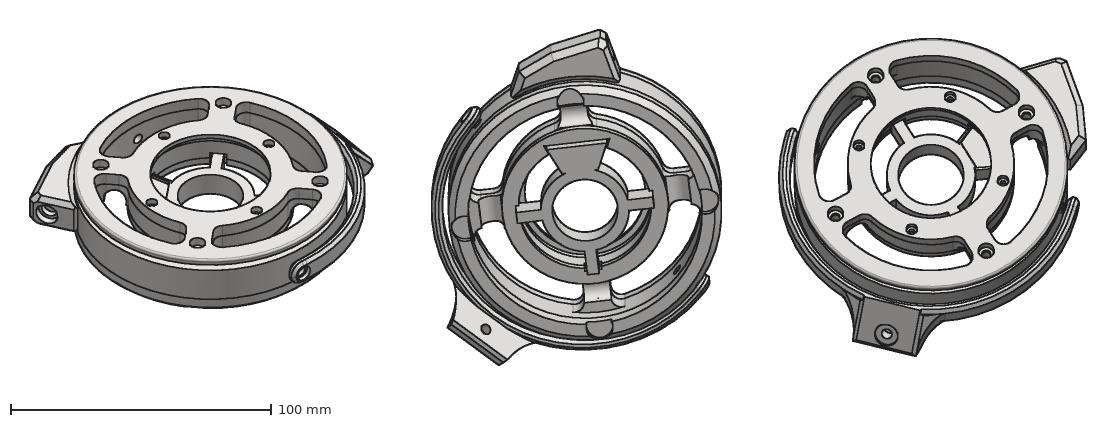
import cadquery as cq
import math

OUTER_R = 105.0 / 2
SLOT_OUTER_R = 90 / 2
HUB_R = 64.0 / 2
BORE_R = 51.0 / 2
ARM_WIDTH = 10.4
SLOT_FILLET = 4.0
ARM_ANGLES = (45, 135, 225, 315)
HUB_SCREW_ANGLES = (0, 90, 180, 270)

COVER_RIM_TOP = 6.7
HUB_JOINT = 12.6
HOUSING_TOP = 21.1
PLATE_TOP = 26.2
PIVOT_Z = (COVER_RIM_TOP + HOUSING_TOP) / 2

ARM_SCREW_R = 42.4
ARM_SCREW_HOLE = 3.5
ARM_SCREW_HEAD = 6.0
ARM_SCREW_HEAD_DEPTH = 3.7
HUB_SCREW_R = 28.7
HUB_SCREW_HOLE = 2.2
HUB_SCREW_HEAD = 4.2
HUB_SCREW_HEAD_DEPTH = 2.6
SCREW_DEPTH = 10.3
PIVOT_HOLE = 4.0

PASSAGE_R = 36.3
PASSAGE_HOLE = 9.0

FLANGE_BOTTOM = 23.3
FLANGE_FILLET = 0.9
NECK_R = 46.9
PLATE_OPENING_R = 23.1
LIP_BOTTOM = 24.3

COVER_CHAMFER = 2.6
FOOT_R = 46.5
FOOT_DIAMETER = 10.3
FOOT_DEPTH = 2.6

HUB_UNDERSIDE = 9.5
SPIDER_BORE_R = 12.6
SPIDER_RING_R = 17.0
SPIDER_BOTTOM = 5.3
SPIDER_TOP = 14.9
SPOKE_WIDTH = 4.5
SPOKE_REACH = 26.5
SPOKE_ANGLES = (45, 135, 315)
NOTCH_CLEARANCE = 1.0
PAD_ANGLE = 225
PAD_INNER_X = 16.0
PAD_INNER_WIDTH = 14.0
PAD_FLARE_ANGLE = 24
PAD_WALL = 0.8
PAD_POCKET_DEPTH = 1.3

BOX_SIDE = [(-50.7, -18.3), (-54.3, -28.0), (-49.4, -41.5), (-38.3, -58.2)]
BOX_CABLE_END = [(-35.7, -58.6), (-21.9, -49.8)]
BOX_HIDDEN_BACK = [(-20.6, -38.6), (-38.6, -18.3)]
BOX_SIDE_CHAMFER = 2.7
BOX_CORNER_CHAMFER = 3.1
BOX_END_CHAMFER = 1.9
BOX_INNER_CHAMFER = 2.2
CABLE_FROM_CORNER = 5.5
CABLE_MOUTH = 8.7
CABLE_MOUTH_DEPTH = 3.1
CABLE_HOLE = 6.2
CABLE_HOLE_DEPTH = 5.7

YOKE_CENTER_Y = 1.7
YOKE_OUTER_R = 116.1 / 2
YOKE_INNER_R = 53.9
YOKE_HEIGHT = 10.2
YOKE_BOTTOM = PIVOT_Z - YOKE_HEIGHT / 2
YOKE_TOP = PIVOT_Z + YOKE_HEIGHT / 2
YOKE_CHAMFER = 1.4
ROUND_END_FLAT = 0.03
YOKE_SCREW_HEAD = 6.2
YOKE_SCREW_HEAD_DEPTH = 1.9
YOKE_SCREW_HOLE = 4.2
TAB_BEND_Y = 57.7
TAB_TILT = 50
TAB_LENGTH = 20.6
TAB_THICKNESS = 6.4
TAB_HALF_WIDTH = 12.6
TAB_OVERLAP = 5.1
TAB_CHAMFER = 1.5
WEB_TOE = (20.8, 55.8)
WEB_MIDDLE = (14.9, 61.5)
WEB_TIP = (TAB_HALF_WIDTH, 68.8)
TAB_HOLE_FROM_BEND = 13.9
TAB_HOLE = 4.0
TAB_HEAD = 9.0
TAB_HEAD_DEPTH = 1.0


def disc(radius, bottom, top):
    return cq.Workplane("XY").workplane(offset=bottom).circle(radius).extrude(top - bottom)


def polar(radius, angle):
    return radius * math.cos(math.radians(angle)), radius * math.sin(math.radians(angle))


def turned(body, angle):
    return body.rotate((0, 0, 0), (0, 0, 1), angle)


def drill(radius_from_axis, angles, diameter, bottom, top):
    """Vertical drills placed around the main axis."""
    places = cq.Workplane("XY").workplane(offset=bottom)
    places = places.pushPoints([polar(radius_from_axis, angle) for angle in angles])
    return places.circle(diameter / 2).extrude(top - bottom)


def slots(bottom, top):
    """Four arc-shaped windows, which leave four diagonal arms between rim and hub."""
    windows = disc(SLOT_OUTER_R, bottom, top).cut(disc(HUB_R, bottom, top))
    for angle in ARM_ANGLES[:2]:
        arm = cq.Workplane("XY").box(2 * OUTER_R, ARM_WIDTH, 2 * PLATE_TOP)
        windows = windows.cut(turned(arm, angle))
    return windows.edges("|Z").fillet(SLOT_FILLET)


def arm_passages():
    """Level cross holes that link neighbouring windows through each arm."""
    drill_bit = cq.Workplane("XZ").center(PASSAGE_R, PIVOT_Z).circle(PASSAGE_HOLE / 2)
    drill_bit = drill_bit.extrude(ARM_WIDTH, both=True)
    passages = cq.Workplane()
    for angle in ARM_ANGLES:
        passages = passages.add(turned(drill_bit, angle))
    return passages.combine()


def pad(margin, bottom, top):
    """Flared wedge on the spider's cable side, offset outward by a margin."""
    inner_x = PAD_INNER_X - margin
    inner_half = PAD_INNER_WIDTH / 2 + margin
    outer_half = inner_half + (SPOKE_REACH - PAD_INNER_X) * math.tan(math.radians(PAD_FLARE_ANGLE))
    outline = [
        (inner_x, -inner_half), (SPOKE_REACH, -outer_half),
        (SPOKE_REACH, outer_half), (inner_x, inner_half),
    ]
    body = cq.Workplane("XY").workplane(offset=bottom).polyline(outline).close().extrude(top - bottom)
    return turned(body, PAD_ANGLE)


def spider_arms(margin, bottom, top):
    """The pad and the spokes; a margin above zero gives the notches they sit in."""
    arms = pad(margin, bottom, top)
    for angle in SPOKE_ANGLES:
        spoke = cq.Workplane("XY").workplane(offset=bottom).center(SPOKE_REACH / 2, 0)
        spoke = spoke.rect(SPOKE_REACH, SPOKE_WIDTH + 2 * margin).extrude(top - bottom)
        arms = arms.union(turned(spoke, angle))
    return arms


def make_plate():
    flange = disc(OUTER_R, FLANGE_BOTTOM, PLATE_TOP).edges().fillet(FLANGE_FILLET)
    plate = disc(NECK_R, HOUSING_TOP, FLANGE_BOTTOM).union(flange)
    plate = plate.cut(disc(PLATE_OPENING_R, HOUSING_TOP, PLATE_TOP))
    plate = plate.cut(disc(BORE_R, HOUSING_TOP, LIP_BOTTOM))
    plate = plate.cut(slots(HOUSING_TOP, PLATE_TOP))
    plate = plate.cut(drill(ARM_SCREW_R, ARM_ANGLES, ARM_SCREW_HOLE, HOUSING_TOP, PLATE_TOP))
    head_bottom = PLATE_TOP - ARM_SCREW_HEAD_DEPTH
    plate = plate.cut(drill(ARM_SCREW_R, ARM_ANGLES, ARM_SCREW_HEAD, head_bottom, PLATE_TOP))
    plate = plate.cut(drill(HUB_SCREW_R, HUB_SCREW_ANGLES, HUB_SCREW_HOLE, HOUSING_TOP, PLATE_TOP))
    head_bottom = PLATE_TOP - HUB_SCREW_HEAD_DEPTH
    return plate.cut(drill(HUB_SCREW_R, HUB_SCREW_ANGLES, HUB_SCREW_HEAD, head_bottom, PLATE_TOP))


def make_housing():
    housing = disc(OUTER_R, COVER_RIM_TOP, HOUSING_TOP)
    housing = housing.cut(disc(SLOT_OUTER_R, COVER_RIM_TOP, HUB_JOINT))
    housing = housing.cut(disc(BORE_R, HUB_JOINT, HOUSING_TOP))
    housing = housing.cut(slots(HUB_JOINT, HOUSING_TOP))
    housing = housing.cut(spider_arms(NOTCH_CLEARANCE, HUB_JOINT, SPIDER_TOP))
    housing = housing.cut(arm_passages())
    screw_bottom = PLATE_TOP - SCREW_DEPTH
    housing = housing.cut(drill(ARM_SCREW_R, ARM_ANGLES, ARM_SCREW_HOLE, screw_bottom, HOUSING_TOP))
    housing = housing.cut(drill(HUB_SCREW_R, HUB_SCREW_ANGLES, HUB_SCREW_HOLE, screw_bottom, HOUSING_TOP))
    window_middle = (HUB_R + SLOT_OUTER_R) / 2
    for side in (-1, 1):
        start = cq.Vector(side * window_middle, 0, PIVOT_Z)
        hole = cq.Solid.makeCylinder(PIVOT_HOLE / 2, OUTER_R - window_middle, start, cq.Vector(side, 0, 0))
        housing = housing.cut(cq.Workplane(hole))
    return housing


def make_cover():
    cover = disc(OUTER_R, 0, COVER_RIM_TOP).faces("<Z").chamfer(COVER_CHAMFER)
    cover = cover.cut(disc(SLOT_OUTER_R, 0, COVER_RIM_TOP))
    return cover.cut(drill(FOOT_R, ARM_ANGLES, FOOT_DIAMETER, 0, FOOT_DEPTH))


def make_spider():
    rim = disc(HUB_R, HUB_UNDERSIDE, HUB_JOINT).cut(disc(BORE_R, HUB_UNDERSIDE, HUB_JOINT))
    rim = rim.cut(spider_arms(NOTCH_CLEARANCE, HUB_UNDERSIDE, HUB_JOINT))
    spider = disc(SPIDER_RING_R, SPIDER_BOTTOM, SPIDER_TOP)
    spider = spider.union(spider_arms(0, SPIDER_BOTTOM, SPIDER_TOP)).union(rim)
    spider = spider.cut(disc(SPIDER_BORE_R, SPIDER_BOTTOM, SPIDER_TOP))
    return spider.cut(pad(-PAD_WALL, SPIDER_TOP - PAD_POCKET_DEPTH, SPIDER_TOP))


def midpoint(start, end, height):
    return (start[0] + end[0]) / 2, (start[1] + end[1]) / 2, height


def rim_edges(outline):
    """Selects the top and bottom edges of the terminal box along an open outline."""
    selectors = [
        cq.NearestToPointSelector(midpoint(start, end, height))
        for start, end in zip(outline, outline[1:])
        for height in (COVER_RIM_TOP, HOUSING_TOP)
    ]
    return sum(selectors[1:], selectors[0])


def box_seat():
    """The housing wall and its two flared ends, which shape the inner side of the terminal box."""
    flare_r = OUTER_R + BOX_INNER_CHAMFER
    profile = [
        (0, COVER_RIM_TOP), (flare_r, COVER_RIM_TOP), (OUTER_R, COVER_RIM_TOP + BOX_INNER_CHAMFER),
        (OUTER_R, HOUSING_TOP - BOX_INNER_CHAMFER), (flare_r, HOUSING_TOP), (0, HOUSING_TOP),
    ]
    return cq.Workplane("XZ").polyline(profile).close().revolve(360, (0, 0, 0), (0, 1, 0))


def make_box():
    outline = BOX_SIDE + BOX_CABLE_END + BOX_HIDDEN_BACK
    box = cq.Workplane("XY").workplane(offset=COVER_RIM_TOP).polyline(outline).close()
    box = box.extrude(HOUSING_TOP - COVER_RIM_TOP)
    box = box.edges(rim_edges([BOX_SIDE[-1], BOX_CABLE_END[0]])).chamfer(BOX_CORNER_CHAMFER)
    box = box.edges(rim_edges(BOX_SIDE)).chamfer(BOX_SIDE_CHAMFER)
    box = box.edges(rim_edges(BOX_CABLE_END)).chamfer(BOX_END_CHAMFER)
    box = box.cut(box_seat())
    near, far = BOX_CABLE_END
    run = math.dist(near, far)
    along = cq.Vector((far[0] - near[0]) / run, (far[1] - near[1]) / run, 0)
    inward = cq.Vector(-along.y, along.x, 0)
    mouth = cq.Vector(*near, PIVOT_Z) + along * CABLE_FROM_CORNER
    for diameter, depth in ((CABLE_MOUTH, CABLE_MOUTH_DEPTH), (CABLE_HOLE, CABLE_HOLE_DEPTH)):
        box = box.cut(cq.Workplane(cq.Solid.makeCylinder(diameter / 2, depth, mouth, inward)))
    return box


def tilt_to_tab(body):
    """Moves a body laid out with y running down the tab from its bend line onto the tab's slope."""
    tilt = math.radians(TAB_TILT)
    normal = (0, math.sin(tilt), math.cos(tilt))
    slope = cq.Plane(origin=(0, TAB_BEND_Y, YOKE_TOP), xDir=(1, 0, 0), normal=normal)
    return cq.Workplane(body.val().moved(cq.Location(slope)))


def yoke_band():
    round_end = YOKE_HEIGHT / 2
    band = (
        cq.Workplane("XY").workplane(offset=YOKE_BOTTOM)
        .moveTo(-YOKE_OUTER_R, -round_end).lineTo(-YOKE_OUTER_R, YOKE_CENTER_Y)
        .threePointArc((0, YOKE_CENTER_Y + YOKE_OUTER_R), (YOKE_OUTER_R, YOKE_CENTER_Y))
        .lineTo(YOKE_OUTER_R, -round_end).lineTo(YOKE_INNER_R, -round_end).lineTo(YOKE_INNER_R, YOKE_CENTER_Y)
        .threePointArc((0, YOKE_CENTER_Y + YOKE_INNER_R), (-YOKE_INNER_R, YOKE_CENTER_Y))
        .lineTo(-YOKE_INNER_R, -round_end).close().extrude(YOKE_HEIGHT)
    )
    band = band.edges("|X and <Y").fillet(round_end - ROUND_END_FLAT / 2)
    return band.edges("not |X").chamfer(YOKE_CHAMFER)


def yoke_tab():
    length = TAB_LENGTH + TAB_OVERLAP
    tab = cq.Workplane("XY").center(0, TAB_LENGTH - length / 2)
    tab = tab.rect(2 * TAB_HALF_WIDTH, length).extrude(-TAB_THICKNESS)
    tab = tab.edges(">Z and (not <Y)").chamfer(TAB_CHAMFER)
    tab = tab.faces("<Z").edges(">Y").chamfer(TAB_CHAMFER)
    tab = tilt_to_tab(tab)
    tab = tab.cut(disc(2 * YOKE_OUTER_R, YOKE_TOP, 2 * YOKE_TOP))
    inside = disc(YOKE_INNER_R + YOKE_CHAMFER, 0, YOKE_TOP)
    return tab.cut(inside.translate((0, YOKE_CENTER_Y, 0)))


def yoke_web():
    """Curved webs that blend both sides of the tab into the band, just below the tab's chamfer."""
    web = (
        cq.Workplane("XY").moveTo(-WEB_TOE[0], WEB_TOE[1])
        .threePointArc((-WEB_MIDDLE[0], WEB_MIDDLE[1]), (-WEB_TIP[0], WEB_TIP[1]))
        .lineTo(*WEB_TIP).threePointArc(WEB_MIDDLE, WEB_TOE).close().extrude(YOKE_TOP - YOKE_CHAMFER)
    )
    slab = cq.Workplane("XY").workplane(offset=-TAB_CHAMFER)
    slab = slab.rect(4 * TAB_HALF_WIDTH, 2 * TAB_LENGTH).extrude(TAB_CHAMFER - TAB_THICKNESS)
    return web.intersect(tilt_to_tab(slab))


def make_yoke():
    yoke = yoke_band().union(yoke_tab()).union(yoke_web())
    above_tab = cq.Workplane("XY").rect(2 * WEB_TOE[0], 2 * TAB_LENGTH).extrude(TAB_LENGTH)
    yoke = yoke.cut(tilt_to_tab(above_tab))
    for side in (-1, 1):
        outside = cq.Vector(side * YOKE_OUTER_R, 0, PIVOT_Z)
        for diameter, depth in ((YOKE_SCREW_HEAD, YOKE_SCREW_HEAD_DEPTH), (YOKE_SCREW_HOLE, YOKE_HEIGHT)):
            hole = cq.Solid.makeCylinder(diameter / 2, depth, outside, cq.Vector(-side, 0, 0))
            yoke = yoke.cut(cq.Workplane(hole))
    for diameter, depth in ((TAB_HEAD, TAB_HEAD_DEPTH), (TAB_HOLE, TAB_THICKNESS)):
        hole = cq.Workplane("XY").center(0, TAB_HOLE_FROM_BEND).circle(diameter / 2).extrude(-depth)
        yoke = yoke.cut(tilt_to_tab(hole))
    return yoke


plate = make_plate()
housing = make_housing()
cover = make_cover()
spider = make_spider()
box = make_box()
yoke = make_yoke()
bodies = (plate, housing, cover, spider, box, yoke)
result = cq.Compound.makeCompound([body.solids().val() for body in bodies])